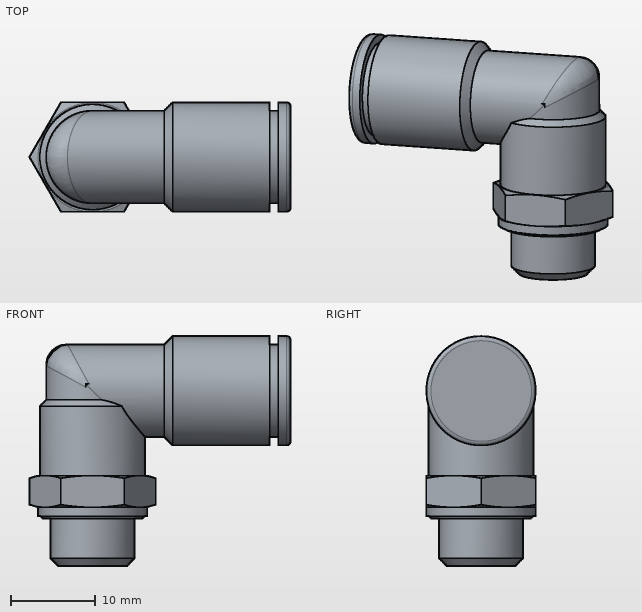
import cadquery as cq
import math

total_length = 31.0
total_height = 27.3
sleeve_diameter = 13.0
hex_across_flats = 13.0
tube_diameter = 11.0
body_diameter = 12.5
spigot_diameter = 10.0
spigot_tip_diameter = 8.2
spigot_tip_height = 0.93

flange_bottom = 5.6
flange_edge = 5.92
hex_bottom = 6.98
hex_top = 10.73
body_chamfer_bottom = 18.98

flange_diameter = 13.0
flange_step_diameter = 12.35
flange_bottom_diameter = 11.78

hex_corner_drop = 0.3

sleeve_chamfer_start = 8.5
sleeve_end = 21.0
collar_start = 22.02
collar_rounding = 0.53

elbow_rounding = 2.48
rounding_side_margin = 0.05

hex_corner_diameter = hex_across_flats / math.cos(math.pi / 6)
arm_end = total_length - hex_corner_diameter / 2
tube_radius = tube_diameter / 2
rounding_half_width = tube_radius - rounding_side_margin
sleeve_radius = sleeve_diameter / 2
arm_height = total_height - sleeve_radius
sleeve_start = sleeve_chamfer_start + sleeve_radius - tube_radius
body_top = body_chamfer_bottom + (body_diameter - tube_diameter) / 2


def turned_stem(steps):
    """Solid of revolution about Z from (diameter, height) pairs."""
    outline = [(diameter / 2, height) for diameter, height in steps]
    outline = [(0, outline[0][1])] + outline + [(0, outline[-1][1])]
    return cq.Workplane("XZ").polyline(outline).close().revolve(360, (0, 0), (0, 1))


def make_stem():
    """Spigot, stepped collar and chamfered body on the vertical axis."""
    return turned_stem([
        (spigot_tip_diameter, 0),
        (spigot_diameter, spigot_tip_height),
        (spigot_diameter, flange_bottom),
        (flange_bottom_diameter, flange_bottom),
        (flange_step_diameter, flange_edge),
        (flange_diameter, flange_edge),
        (flange_diameter, hex_bottom),
        (body_diameter, hex_bottom),
        (body_diameter, body_chamfer_bottom),
        (tube_diameter, body_top),
    ])


def make_hexagon():
    """Hexagon with corners on the X axis, chamfered above and below."""
    prism = (
        cq.Workplane("XY", origin=(0, 0, hex_bottom))
        .polygon(6, hex_corner_diameter)
        .extrude(hex_top - hex_bottom)
    )
    corner_limit = turned_stem([
        (hex_across_flats, hex_bottom),
        (hex_corner_diameter, hex_bottom + hex_corner_drop),
        (hex_corner_diameter, hex_top - hex_corner_drop),
        (hex_across_flats, hex_top),
    ])
    return prism.intersect(corner_limit)


def make_elbow():
    """Vertical and horizontal tubes, mitred and rounded on the outer bend."""
    vertical = (
        cq.Workplane("XY", origin=(0, 0, body_chamfer_bottom))
        .circle(tube_radius)
        .extrude(total_height - body_chamfer_bottom)
    )
    horizontal = (
        cq.Workplane("YZ", origin=(-tube_radius, 0, arm_height))
        .circle(tube_radius)
        .extrude(tube_radius + sleeve_chamfer_start)
    )
    reach = total_length
    below_mitre = (
        cq.Workplane("XZ", origin=(0, 0, arm_height))
        .polyline([(-reach, reach), (reach, -reach), (-reach, -reach)])
        .close()
        .extrude(reach, both=True)
    )
    elbow = vertical.intersect(below_mitre).union(horizontal.cut(below_mitre))
    outer_bend = cq.selectors.BoxSelector(
        (-tube_radius, -tube_radius, arm_height),
        (0, tube_radius, total_height),
    )
    slab = cq.Workplane("XY").box(2 * reach, 2 * rounding_half_width, 2 * reach)
    rounded_middle = elbow.intersect(slab).edges(outer_bend).fillet(elbow_rounding)
    return rounded_middle.union(elbow.cut(slab))


def make_sleeve():
    """Tube sleeve with a lead-in chamfer, a groove and a rounded end collar."""
    outline = (
        cq.Workplane("XZ", origin=(0, 0, arm_height))
        .moveTo(sleeve_chamfer_start, 0)
        .lineTo(sleeve_chamfer_start, tube_radius)
        .lineTo(sleeve_start, sleeve_radius)
        .lineTo(sleeve_end, sleeve_radius)
        .lineTo(sleeve_end, tube_radius)
        .lineTo(collar_start, tube_radius)
        .lineTo(collar_start, sleeve_radius)
        .lineTo(arm_end, sleeve_radius)
        .lineTo(arm_end, 0)
        .close()
    )
    sleeve = outline.revolve(360, (0, 0), (1, 0))
    return sleeve.faces(">X").edges().fillet(collar_rounding)


result = make_stem().union(make_hexagon()).union(make_elbow()).union(make_sleeve())